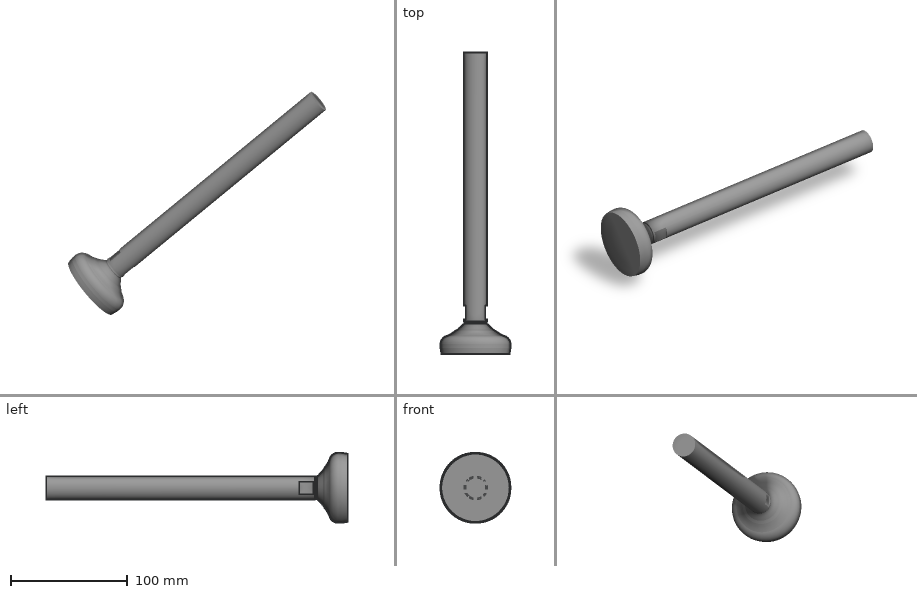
import cadquery as cq

TOTAL_LENGTH = 258.0
FOOT_DIAMETER = 60.0
SPINDLE_DIAMETER = 20.0
FOOT_RADIUS = FOOT_DIAMETER / 2
SPINDLE_RADIUS = SPINDLE_DIAMETER / 2

RIM_LOW_HEIGHT = 5.5
RIM_HIGH_HEIGHT = 8.8
SHOULDER_HEIGHT = 15.7
BEND_HEIGHT = 19.5
FLARE_HEIGHT = 21.2
LIP_HEIGHT = 26.0
FOOT_HEIGHT = 26.8
SPINDLE_START = 28.0
FLAT_START = 29.7
FLAT_LENGTH = 11.9

SOLE_RADIUS = 29.2
SHOULDER_RADIUS = 24.0
SHOULDER_ROUNDING = 7.7
BEND_RADIUS = 17.5
FLARE_CURVATURE = 23.2
FLARE_RADIUS = 15.0
LIP_RADIUS = 9.8
NECK_TOP_RADIUS = 8.8

WRENCH_WIDTH = 17.0

SOLE_Y = -TOTAL_LENGTH / 2


def make_foot():
    """Bell-shaped foot: tapered sole edge, rounded shoulder, concave flare and a short lip."""
    profile = (
        cq.Workplane("XY", origin=(0, SOLE_Y, 0))
        .lineTo(SOLE_RADIUS, 0)
        .lineTo(FOOT_RADIUS, RIM_LOW_HEIGHT)
        .lineTo(FOOT_RADIUS, RIM_HIGH_HEIGHT)
        .radiusArc((SHOULDER_RADIUS, SHOULDER_HEIGHT), -SHOULDER_ROUNDING)
        .radiusArc((BEND_RADIUS, BEND_HEIGHT), FLARE_CURVATURE)
        .lineTo(FLARE_RADIUS, FLARE_HEIGHT)
        .lineTo(LIP_RADIUS, LIP_HEIGHT)
        .lineTo(LIP_RADIUS, FOOT_HEIGHT)
        .lineTo(0, FOOT_HEIGHT)
        .close()
    )
    return profile.revolve(360, (0, 0, 0), (0, 1, 0))


def make_spindle():
    """Plain spindle standing on the foot by a tapered neck, with two wrench flats."""
    profile = (
        cq.Workplane("XY", origin=(0, SOLE_Y, 0))
        .moveTo(0, FOOT_HEIGHT)
        .lineTo(LIP_RADIUS, FOOT_HEIGHT)
        .lineTo(NECK_TOP_RADIUS, SPINDLE_START)
        .lineTo(SPINDLE_RADIUS, SPINDLE_START)
        .lineTo(SPINDLE_RADIUS, TOTAL_LENGTH)
        .lineTo(0, TOTAL_LENGTH)
        .close()
    )
    spindle = profile.revolve(360, (0, 0, 0), (0, 1, 0))
    flat_depth = SPINDLE_RADIUS - WRENCH_WIDTH / 2
    flat_y = SOLE_Y + FLAT_START + FLAT_LENGTH / 2
    for side in (-1, 1):
        flat_x = side * (WRENCH_WIDTH + flat_depth) / 2
        cutter = cq.Workplane("XY").box(flat_depth, FLAT_LENGTH, SPINDLE_DIAMETER)
        spindle = spindle.cut(cutter.translate((flat_x, flat_y, 0)))
    return spindle


foot = make_foot()
spindle = make_spindle()
result = cq.Compound.makeCompound([foot.val(), spindle.val()])